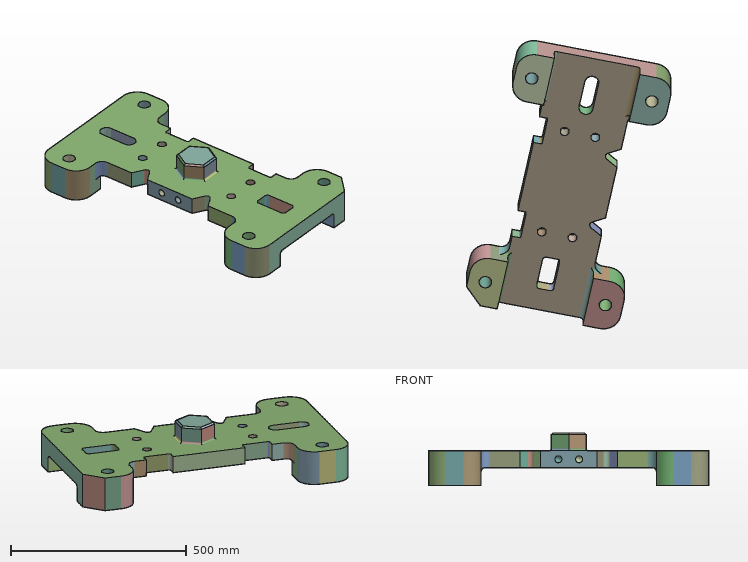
import cadquery as cq
import math

length = 800.0
depth = 450.0
total_height = 150.0
leg_height = 100.0
plate_thickness = 50.0
waist_length = 500.0
leg_size_y = 100.0
leg_corner_radius = 50.0
corner_chamfer = leg_corner_radius
waist_corner_radius = 25.0
underside_radius = 10.0

waist_depth = depth - 2 * leg_size_y
leg_size_x = (length - waist_length) / 2
plate_bottom = leg_height - plate_thickness

hex_across_flats = 100.0
hex_bevel = 5.0
hex_foot_radius = 5.0
hex_height = total_height - leg_height

leg_hole_diameter = 35.0
leg_hole_x = 325.0
leg_hole_y = 175.0
plate_hole_diameter = 25.0
plate_hole_x = 160.0
plate_hole_y = 45.0

opening_x = 285.0
slot_length = 120.0
slot_width = 40.0
window_length = 100.0
window_width = 50.0
window_corner_radius = 10.0

back_notch_x = 150.0
back_notch_width = 82.0
back_notch_depth = 25.0
back_notch_radius = 5.0

v_notch_x = 110.0
v_notch_sharp_depth = 50.0
v_notch_half_angle = 30.0
v_notch_radius = 10.0

front_hole_diameter = 20.0
front_hole_x = 30.0
front_hole_depth = 50.0
drill_point_angle = 118.0


def mirrored_in_x(x):
    return [(-x, 0), (x, 0)]


def four_corners(x, y):
    return [(sx * x, sy * y) for sx in (-1, 1) for sy in (-1, 1)]


def make_body():
    """H-shaped block of full leg height with its upright corners rounded."""
    bar_x = (length - leg_size_x) / 2
    waist = cq.Workplane().box(length, waist_depth, leg_height, centered=(True, True, False))
    bars = (
        cq.Workplane()
        .pushPoints(mirrored_in_x(bar_x))
        .rect(leg_size_x, depth)
        .extrude(leg_height)
    )
    body = waist.union(bars).clean()

    zone_x = length / 2 - leg_size_x / 2
    zone_y = depth / 2 - leg_size_y / 2
    waist_corner_zone = cq.selectors.BoxSelector((-zone_x, -zone_y, 0), (zone_x, zone_y, leg_height))
    body = body.edges("|Z").edges(waist_corner_zone).fillet(waist_corner_radius)
    body = body.faces("<Y").edges("|Z").fillet(leg_corner_radius)
    body = body.faces(">Y").edges("|Z and (not >X)").fillet(leg_corner_radius)
    return body.faces(">Y").edges("|Z and >X").chamfer(corner_chamfer)


def make_underside_channels():
    """Two crossing channels, round-cornered at the top, that leave the four legs."""
    lengthwise = (
        cq.Workplane()
        .box(length, waist_depth, plate_bottom, centered=(True, True, False))
        .edges(">Z and |X")
        .fillet(underside_radius)
    )
    crosswise = (
        cq.Workplane()
        .box(waist_length, depth, plate_bottom, centered=(True, True, False))
        .edges(">Z and |Y")
        .fillet(underside_radius)
    )
    return lengthwise.union(crosswise)


def add_hex_boss(body):
    """Add a hexagon with corners on the Y axis, bevelled on top and filleted at its foot."""
    corner_diameter = hex_across_flats / math.cos(math.radians(30))
    boss = (
        cq.Workplane(origin=(0, 0, leg_height))
        .transformed(rotate=(0, 0, 90))
        .polygon(6, corner_diameter)
        .extrude(hex_height)
        .faces(">Z")
        .chamfer(hex_bevel)
    )
    half_zone = corner_diameter / 2 + hex_foot_radius
    foot_zone = cq.selectors.BoxSelector(
        (-half_zone, -half_zone, leg_height - hex_foot_radius),
        (half_zone, half_zone, leg_height + hex_foot_radius),
    )
    return body.union(boss).edges(foot_zone).fillet(hex_foot_radius)


def make_vertical_holes():
    leg_holes = (
        cq.Workplane()
        .pushPoints(four_corners(leg_hole_x, leg_hole_y))
        .circle(leg_hole_diameter / 2)
        .extrude(leg_height)
    )
    plate_holes = (
        cq.Workplane()
        .pushPoints(four_corners(plate_hole_x, plate_hole_y))
        .circle(plate_hole_diameter / 2)
        .extrude(leg_height)
    )
    return leg_holes.union(plate_holes)


def make_openings():
    """Round-ended slot in the -X bar and round-cornered window in the +X bar."""
    slot = cq.Workplane().center(-opening_x, 0).slot2D(slot_length, slot_width).extrude(leg_height)
    window = (
        cq.Workplane()
        .center(opening_x, 0)
        .rect(window_length, window_width)
        .extrude(leg_height)
        .edges("|Z")
        .fillet(window_corner_radius)
    )
    return slot.union(window)


def make_back_notches():
    return (
        cq.Workplane()
        .center(0, waist_depth / 2 - back_notch_depth / 2)
        .pushPoints(mirrored_in_x(back_notch_x))
        .rect(back_notch_width, back_notch_depth)
        .extrude(leg_height)
        .edges("|Z and <Y")
        .fillet(back_notch_radius)
    )


def make_v_notch(x):
    half_width = v_notch_sharp_depth * math.tan(math.radians(v_notch_half_angle))
    return (
        cq.Workplane()
        .center(x, -waist_depth / 2)
        .polyline([(-half_width, 0), (half_width, 0), (0, v_notch_sharp_depth)])
        .close()
        .extrude(leg_height)
        .edges("|Z and >Y")
        .fillet(v_notch_radius)
    )


def make_front_hole(x):
    """Blind hole along +Y ending in a drill point, midway through the plate thickness."""
    radius = front_hole_diameter / 2
    point_depth = radius / math.tan(math.radians(drill_point_angle / 2))
    return (
        cq.Workplane(origin=(x, -waist_depth / 2, plate_bottom + plate_thickness / 2))
        .polyline([
            (0, 0),
            (radius, 0),
            (radius, front_hole_depth),
            (0, front_hole_depth + point_depth),
        ])
        .close()
        .revolve(360, (0, 0), (0, 1))
    )


result = add_hex_boss(make_body()).cut(make_underside_channels())
result = result.cut(make_vertical_holes()).cut(make_openings()).cut(make_back_notches())
for side in (-1, 1):
    result = result.cut(make_v_notch(side * v_notch_x))
    result = result.cut(make_front_hole(side * front_hole_x))